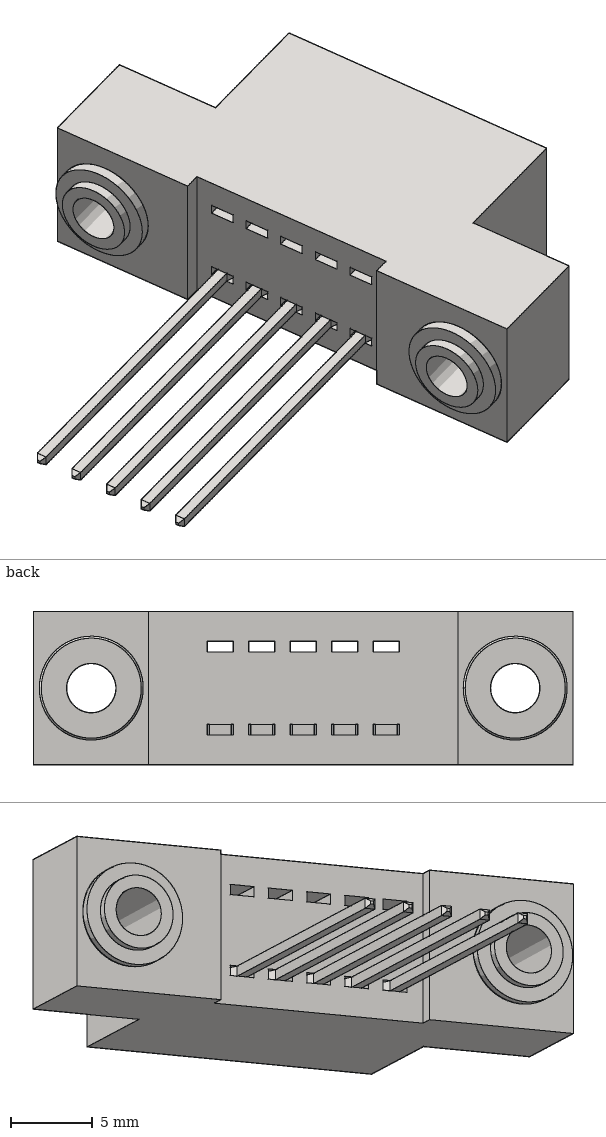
import cadquery as cq

overall_length = 34.3
housing_width = 33.02
housing_height = 9.4
housing_depth = 15.02
wing_depth = 6.88
nose_width = 18.92
recess_width = 13.88
recess_depth = 1.03

contact_count = 5
contact_pitch = 2.54
row_offset = 2.54
slot_width = 1.58
slot_height = 0.64

pin_size = 0.64
blade_width = 1.36
blade_length = 6.0
shoulder_length = 0.9
shoulder_inset = 0.05
pin_tip_length = 0.32
pin_tip_size = 0.2
pin_front = housing_depth - overall_length

bushing_spacing = 25.94
bushing_bore = 3.0
bushing_diameter = 4.57
flange_diameter = 6.36
rear_flange_chamfer = 0.12
front_flange_chamfer = 0.06
rear_flange_thickness = 0.65
front_flange_thickness = 0.72
spigot_length = 0.62

contact_xs = [(i - (contact_count - 1) / 2) * contact_pitch for i in range(contact_count)]
bushing_xs = [-bushing_spacing / 2, bushing_spacing / 2]


def block(x, z, width, height, y_start, y_end):
    """Rectangular bar along Y, centred on (x, z)."""
    bar = cq.Workplane("XY").box(width, y_end - y_start, height, centered=(True, False, True))
    return bar.translate((x, y_start, z))


def rod(x, diameter, y_start, y_end):
    """Cylinder along Y, on the mid-height plane."""
    disc = cq.Workplane("XZ").circle(diameter / 2).extrude(y_start - y_end)
    return disc.translate((x, y_start, 0))


def make_housing():
    wings = block(0, 0, housing_width, housing_height, 0, wing_depth)
    nose = block(0, 0, nose_width, housing_height, 0, housing_depth)
    body = wings.union(nose)
    body = body.cut(block(0, 0, recess_width, housing_height, 0, recess_depth))
    for x in contact_xs:
        for z in (row_offset, -row_offset):
            body = body.cut(block(x, z, slot_width, slot_height, recess_depth, housing_depth))
    for x in bushing_xs:
        body = body.cut(rod(x, bushing_diameter, 0, wing_depth))
    return body


def make_pin(x):
    """Square pin with a pyramid-shaped free tip and a tapered shoulder leading to its flat blade."""
    tip_base = pin_front + pin_tip_length
    shoulder_start = recess_depth + shoulder_inset
    blade_start = shoulder_start + shoulder_length
    shank = block(x, -row_offset, pin_size, pin_size, tip_base, shoulder_start)
    blade = block(x, -row_offset, blade_width, pin_size, blade_start, blade_start + blade_length)
    tip = (
        cq.Workplane("XZ", origin=(x, tip_base, -row_offset))
        .rect(pin_size, pin_size)
        .workplane(offset=pin_tip_length)
        .rect(pin_tip_size, pin_tip_size)
        .loft(combine=True)
    )
    shoulder = (
        cq.Workplane("XY", origin=(x, 0, -row_offset))
        .moveTo(-pin_size / 2, shoulder_start)
        .lineTo(pin_size / 2, shoulder_start)
        .lineTo(blade_width / 2, blade_start)
        .lineTo(-blade_width / 2, blade_start)
        .close()
        .extrude(pin_size / 2, both=True)
    )
    return shank.union(tip).union(shoulder).union(blade)


def make_flange(x, y_start, y_end, edge_chamfer):
    """Round flange with its rear edge chamfered."""
    return rod(x, flange_diameter, y_start, y_end).faces(">Y").edges().chamfer(edge_chamfer)


def make_bushing(x):
    """Flanged sleeve through a wing, with a spigot in front of the front flange."""
    rear_end = wing_depth + rear_flange_thickness
    sleeve = rod(x, bushing_diameter, -front_flange_thickness - spigot_length, rear_end)
    front_flange = make_flange(x, -front_flange_thickness, 0, front_flange_chamfer)
    rear_flange = make_flange(x, wing_depth, rear_end, rear_flange_chamfer)
    bore = rod(x, bushing_bore, -front_flange_thickness - spigot_length, rear_end)
    return sleeve.union(front_flange).union(rear_flange).cut(bore)


housing = make_housing()
pins = [make_pin(x) for x in contact_xs]
bushings = [make_bushing(x) for x in bushing_xs]

result = cq.Compound.makeCompound(
    [housing.val()] + [pin.val() for pin in pins] + [bushing.val() for bushing in bushings]
)